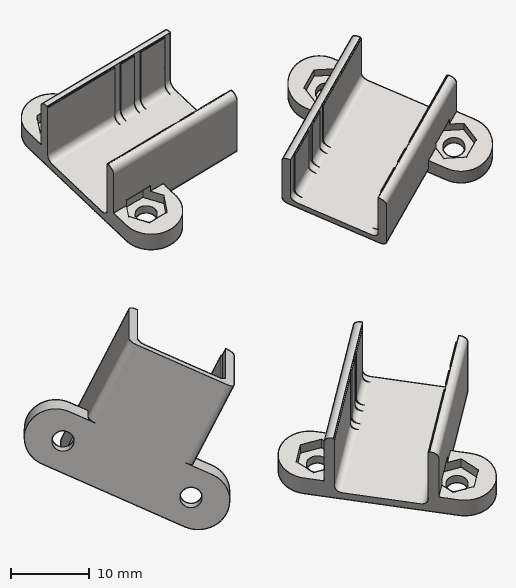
import cadquery as cq

overall_length = 28.0
depth = 20.0
height = 11.4

channel_width = 14.78
wall_thickness = 1.2
floor_thickness = 1.2
edge_radius = 1.0
inner_half_width = channel_width / 2 - wall_thickness

pad_thickness = 0.17
pad_top_drop = 0.17
pad_spans = [(0.0, 10.85), (11.87, 14.05), (15.05, 19.0)]

flange_width = 8.0
flange_thickness = 3.0
hole_spacing = 17.98
hole_diameter = 2.8

nut_corner_diameter = 5.7
nut_floor_height = 1.4
nut_top_height = 4.0
nut_corner_angle = 30.0


def make_channel():
    """Channel along Y with rounded outer edges and an open top, before its cavity is cut."""
    block = cq.Workplane("XY").box(channel_width, depth, height, centered=(True, False, False))
    return block.edges("|Y").fillet(edge_radius)


def make_cavity(half_width, front, back):
    """Space between the walls over one stretch of Y, with rounded floor corners."""
    cavity = cq.Workplane("XY").box(
        2 * half_width, back - front, height, centered=(True, False, False)
    )
    cavity = cavity.edges("|Y and <Z").fillet(edge_radius)
    return cavity.translate((0, front, floor_thickness))


def make_flange():
    """Flat plate across the front of the channel, with fully rounded ends."""
    return (
        cq.Workplane("XY")
        .center(0, flange_width / 2)
        .slot2D(overall_length, flange_width)
        .extrude(flange_thickness)
    )


def make_pads(front, back):
    """Pair of wall pads over one stretch of Y, meeting the floor in a round corner."""
    pad_height = height - pad_top_drop - floor_thickness
    pads = cq.Workplane("XY").box(
        2 * inner_half_width, back - front, pad_height, centered=(True, False, False)
    ).translate((0, front, floor_thickness))
    outside_corners = make_cavity(inner_half_width, front, back)
    pad_gap = make_cavity(inner_half_width - pad_thickness, front, back)
    return pads.intersect(outside_corners).cut(pad_gap)


def make_fastener_cut(x):
    """Screw hole through the flange with a hexagonal nut pocket above it."""
    hole = cq.Workplane("XY").circle(hole_diameter / 2).extrude(flange_thickness)
    nut_pocket = (
        cq.Workplane("XY")
        .polygon(6, nut_corner_diameter)
        .extrude(nut_top_height - nut_floor_height)
        .rotate((0, 0, 0), (0, 0, 1), nut_corner_angle)
        .translate((0, 0, nut_floor_height))
    )
    return hole.union(nut_pocket).translate((x, flange_width / 2, 0))


result = make_channel().union(make_flange())
result = result.cut(make_cavity(inner_half_width, 0, depth))

for pad_front, pad_back in pad_spans:
    result = result.union(make_pads(pad_front, pad_back))

for side in (-1, 1):
    result = result.cut(make_fastener_cut(side * hole_spacing / 2))